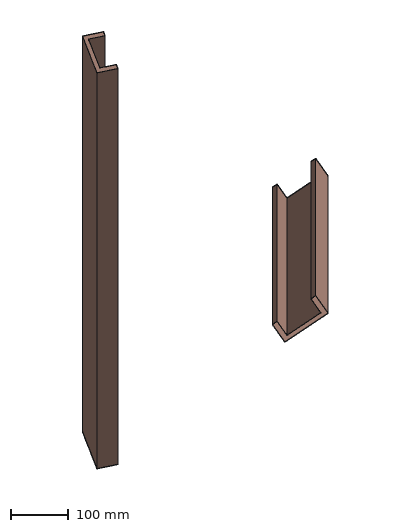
import cadquery as cq

length = 1000
width = 91.0
depth = 38.0
web_thickness = 8.0
flange_thickness = 10.0

outer = cq.Workplane("XY").box(width, depth, length)

groove_width = width - 2 * flange_thickness
groove_depth = depth - web_thickness
groove = (
    cq.Workplane("XY")
    .box(groove_width, groove_depth, length)
    .translate((0, web_thickness / 2, 0))
)

result = outer.cut(groove)